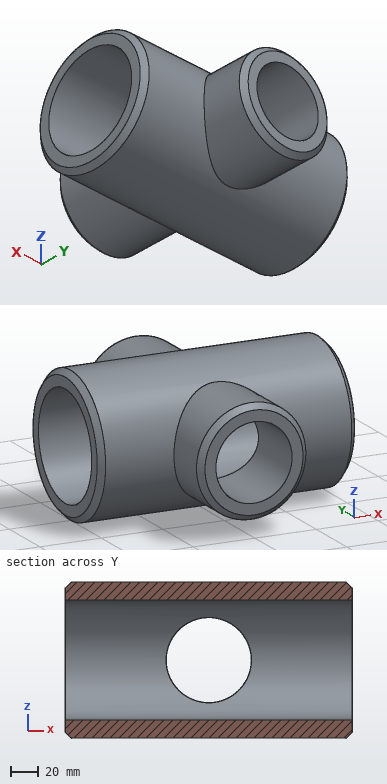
import cadquery as cq

run_length = 209.3
run_outer_diameter = 114.3
run_bore_diameter = 87.0

branch_span = 197.2
branch_outer_diameter = 89.0
branch_bore_diameter = 62.0

end_bevel = 4.5


def centered_cylinder(plane, diameter, length):
    """Cylinder along the plane's normal, centred on the origin."""
    return cq.Workplane(plane).circle(diameter / 2).extrude(length / 2, both=True)


def bevelled_bar(plane, diameter, length):
    """Centred cylinder with both end edges bevelled."""
    return centered_cylinder(plane, diameter, length).edges("%CIRCLE").chamfer(end_bevel)


run = bevelled_bar("YZ", run_outer_diameter, run_length)
branches = bevelled_bar("XZ", branch_outer_diameter, branch_span)
run_bore = centered_cylinder("YZ", run_bore_diameter, run_length)
branch_bore = centered_cylinder("XZ", branch_bore_diameter, branch_span)

result = run.union(branches).cut(run_bore).cut(branch_bore)